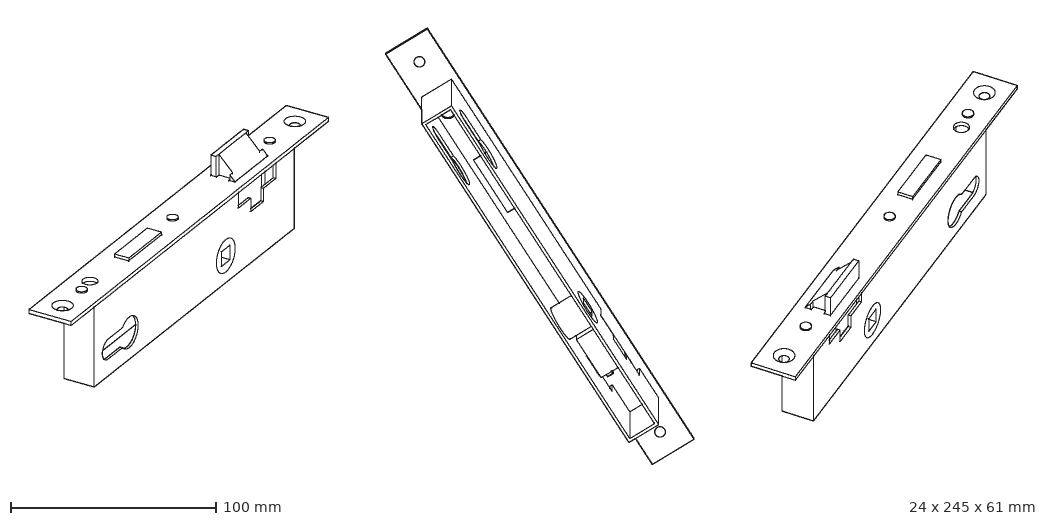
import cadquery as cq


plate_length = 245.0
plate_width = 24.0
plate_thickness = 2.2

case_width = 17.2
case_wall = 1.5
case_bottom = -50.0
case_y_max = 95.5
case_y_min = -94.8

screw_hole_y = 110.5
screw_hole_diameter = 5.1
countersink_diameter = 10.5
access_hole_x = -1.5
access_hole_y = -82.0
access_hole_diameter = 7.8
rivet_ys = (86.5, -6.0, -92.4)
rivet_diameter = 5.6
rivet_height = 0.7

latch_y = 57.5
latch_length = 31.0
latch_width = 13.7
latch_height = 11.0
latch_flat_width = 3.0
groove_width = 7.8
groove_depth = 2.7
stem_y_max = 67.4
stem_y_min = 44.5

tab_width = 6.9
tab_length = 2.2

window_y_max = 78.0
window_y_min = 42.5
window_bottom = -14.2
notch_y_max = 66.2
notch_y_min = 54.1
notch_bottom = -21.5

bolt_y = -38.7
bolt_length = 31.0
bolt_width = 8.0
bolt_height = 1.5

axis_z = -35.0
follower_y = 30.5
follower_diameter = 18.0
spindle_side = 8.0
cylinder_y = -61.5
cylinder_diameter = 17.0
keyway_end_y = -87.0
keyway_width = 11.0

slot_play = 0.2

plate_bottom = -plate_thickness
latch_y_max = latch_y + latch_length / 2
latch_y_min = latch_y - latch_length / 2


def block(x_range, y_range, z_range):
    """Axis-aligned box between the given limits."""
    size = [high - low for low, high in (x_range, y_range, z_range)]
    corner = (x_range[0], y_range[0], z_range[0])
    return cq.Workplane("XY").box(*size, centered=False).translate(corner)


def centred_block(width, y_range, z_range):
    """Axis-aligned box centred on X = 0."""
    return block((-width / 2, width / 2), y_range, z_range)


def side_plane():
    """Sketch plane on the -X side of the case: local x is Y, local y is Z, extrudes along +X."""
    return cq.Workplane("YZ", origin=(-case_width / 2, 0, 0))


def make_faceplate():
    y_range = (-plate_length / 2, plate_length / 2)
    plate = centred_block(plate_width, y_range, (plate_bottom, 0))
    rivets = (
        cq.Workplane("XY")
        .pushPoints([(0, y) for y in rivet_ys])
        .circle(rivet_diameter / 2)
        .extrude(rivet_height)
    )
    return plate.union(rivets)


def make_case():
    outer = centred_block(case_width, (case_y_min, case_y_max), (case_bottom, plate_bottom))
    inner = centred_block(
        case_width - 2 * case_wall,
        (case_y_min + case_wall, case_y_max - case_wall),
        (case_bottom, plate_bottom),
    )
    return outer.cut(inner)


def screw_hole_cutter(y):
    """Countersink narrowing from the outer face to the back of the faceplate."""
    cone = cq.Solid.makeCone(
        countersink_diameter / 2,
        screw_hole_diameter / 2,
        plate_thickness,
        pnt=cq.Vector(0, y, 0),
        dir=cq.Vector(0, 0, -1),
    )
    return cq.Workplane(obj=cone)


def access_hole_cutter():
    return (
        cq.Workplane("XY", origin=(access_hole_x, access_hole_y, plate_bottom))
        .circle(access_hole_diameter / 2)
        .extrude(plate_thickness)
    )


def latch_slot_cutter():
    """Slot around the latch head, with a guide tab left standing at each end."""
    z_range = (plate_bottom, 0)
    slot_y_min = latch_y_min - slot_play
    slot_y_max = latch_y_max + slot_play
    slot = centred_block(latch_width, (slot_y_min, slot_y_max), z_range)
    upper_tab = centred_block(tab_width, (slot_y_max - tab_length, slot_y_max), z_range)
    lower_tab = centred_block(tab_width, (slot_y_min, slot_y_min + tab_length), z_range)
    return slot.cut(upper_tab).cut(lower_tab)


def bolt_slot_cutter():
    half_length = bolt_length / 2 + slot_play
    return centred_block(bolt_width, (bolt_y - half_length, bolt_y + half_length), (plate_bottom, 0))


def window_cutter():
    window = centred_block(case_width, (window_y_min, window_y_max), (window_bottom, plate_bottom))
    notch = centred_block(case_width, (notch_y_min, notch_y_max), (notch_bottom, plate_bottom))
    return window.union(notch)


def follower_cylinder():
    return side_plane().center(follower_y, axis_z).circle(follower_diameter / 2).extrude(case_width)


def keyway_cutter():
    """Round cylinder hole with a straight, round-ended slot towards -Y."""
    end_centre_y = keyway_end_y + keyway_width / 2
    slot_z_range = (axis_z - keyway_width / 2, axis_z + keyway_width / 2)
    barrel = side_plane().center(cylinder_y, axis_z).circle(cylinder_diameter / 2).extrude(case_width)
    slot = centred_block(case_width, (end_centre_y, cylinder_y), slot_z_range)
    slot_end = side_plane().center(end_centre_y, axis_z).circle(keyway_width / 2).extrude(case_width)
    return barrel.union(slot).union(slot_end)


def make_housing():
    """Faceplate and case as one body, with every opening cut."""
    housing = make_faceplate().union(make_case())
    for y in (-screw_hole_y, screw_hole_y):
        housing = housing.cut(screw_hole_cutter(y))
    housing = housing.cut(access_hole_cutter())
    housing = housing.cut(latch_slot_cutter())
    housing = housing.cut(bolt_slot_cutter())
    housing = housing.cut(window_cutter())
    housing = housing.cut(follower_cylinder())
    return housing.cut(keyway_cutter())


def make_latch():
    """Bevelled latch head with grooved ends, on a stem inside the case."""
    left = -latch_width / 2
    right = latch_width / 2
    head = (
        cq.Workplane("XZ", origin=(0, latch_y_max, 0))
        .polyline([
            (left, plate_bottom),
            (left, latch_height),
            (left + latch_flat_width, latch_height),
            (right, 0),
            (right, plate_bottom),
        ])
        .close()
        .extrude(latch_length)
    )
    z_range = (plate_bottom, latch_height)
    upper_groove = centred_block(groove_width, (latch_y_max - groove_depth, latch_y_max), z_range)
    lower_groove = centred_block(groove_width, (latch_y_min, latch_y_min + groove_depth), z_range)
    stem = centred_block(latch_width, (stem_y_min, stem_y_max), (notch_bottom, plate_bottom))
    return head.cut(upper_groove).cut(lower_groove).union(stem)


def make_bolt():
    """Dead bolt flush with the back of the faceplate and standing slightly out of its front."""
    y_range = (bolt_y - bolt_length / 2, bolt_y + bolt_length / 2)
    return centred_block(bolt_width, y_range, (plate_bottom, bolt_height))


def make_follower():
    """Round hub through both case sides with a square spindle hole."""
    hub_plane = side_plane().center(follower_y, axis_z)
    spindle_hole = hub_plane.rect(spindle_side, spindle_side).extrude(case_width)
    return follower_cylinder().cut(spindle_hole)


housing = make_housing()
latch = make_latch()
bolt = make_bolt()
follower = make_follower()

result = cq.Compound.makeCompound([housing.val(), latch.val(), bolt.val(), follower.val()])